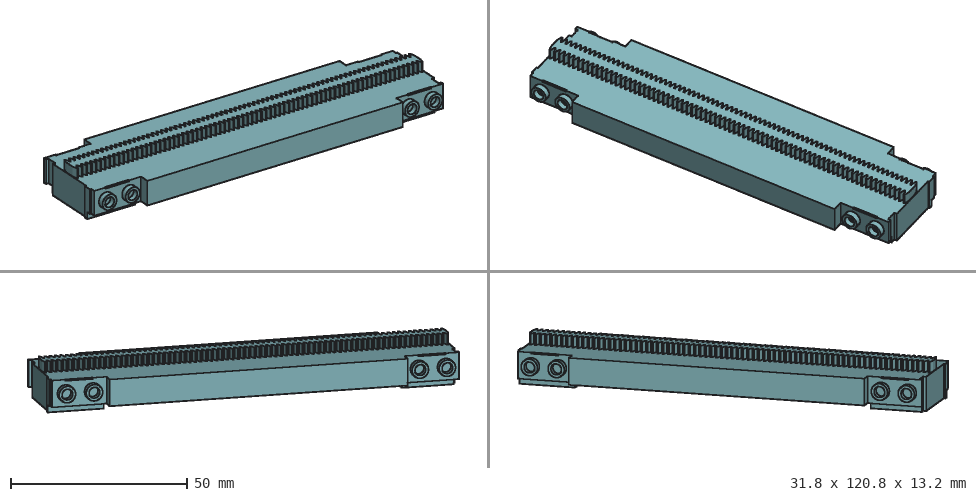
import cadquery as cq

total_length = 120.8
wide_width = 31.8
total_height = 13.2

body_length = 120.0
narrow_width = 25.2
narrow_end_length = 16.1
foot_height = 2.2
foot_width = 19.6
rack_height = 3.1
body_top = total_height - rack_height
body_height = body_top - foot_height
end_y = body_length / 2
flank_x = narrow_width / 2

tongue_length = (total_length - body_length) / 2
tongue_width = 2.5
tongue_center = 9.8
notch_depth = 0.8
notch_width = 3.3
notch_center = 9.9

tooth_count = 76
rack_length = 119.7
rack_root_width = 3.1
rack_tip_width = 6.5
tooth_land = 0.4
tooth_pitch = (rack_length + tooth_land) / tooth_count
tooth_flank = tooth_pitch / 2 - tooth_land

boss_diameter = 4.8
boss_hole_diameter = 3.1
boss_tip_span = 29.0
boss_length = (boss_tip_span - narrow_width) / 2
boss_spacing = 8.0
bosses_per_flank = 2
first_boss_offset = 4.0
boss_center_height = foot_height + body_height / 2

step_size = 0.4
step_length = boss_spacing
step_y = end_y - first_boss_offset - step_length / 2


def block(width, length, height, x, y, bottom):
    """Box centred at (x, y) that stands on the height `bottom`."""
    return cq.Workplane("XY").box(width, length, height, (True, True, False)).translate((x, y, bottom))


def make_body():
    """Narrow bar with a wide middle part and a foot under each end."""
    wide_length = body_length - 2 * narrow_end_length
    body = block(narrow_width, body_length, body_height, 0, 0, foot_height)
    body = body.union(block(wide_width, wide_length, body_height, 0, 0, foot_height))
    foot_y = (body_length - narrow_end_length) / 2
    for y in (-foot_y, foot_y):
        body = body.union(block(foot_width, narrow_end_length, foot_height, 0, y, 0))
    return body


def add_tongue_and_notch(body, side):
    """Join features of the end at +Y (side = 1) or -Y (side = -1), half a turn about Z apart."""
    notch = block(notch_width, 2 * notch_depth, body_top, side * notch_center, side * end_y, 0)
    tongue_x = -side * tongue_center
    tongue = block(tongue_width, 2 * tongue_length, body_height, tongue_x, side * end_y, foot_height)
    tongue_foot = block(tongue_width, 2 * tongue_length, foot_height, tongue_x, side * end_y, 0)
    tongue_foot = tongue_foot.intersect(block(foot_width, total_length, foot_height, 0, 0, 0))
    return body.cut(notch).union(tongue).union(tongue_foot)


def add_flank_features(body, x_side, y_side):
    """Edge step and bosses on one flank of a narrow end."""
    step_bottom = body_top - step_size
    body = body.cut(
        block(2 * step_size, step_length, step_size, x_side * flank_x, y_side * step_y, step_bottom)
    )
    for index in range(bosses_per_flank):
        boss_y = y_side * (end_y - first_boss_offset - index * boss_spacing)
        flank_plane = cq.Workplane("YZ", origin=(x_side * flank_x, boss_y, boss_center_height))
        ring = flank_plane.circle(boss_diameter / 2).circle(boss_hole_diameter / 2)
        body = body.union(ring.extrude(x_side * boss_length))
    return body


def make_rack():
    """Bar with trapezoidal teeth on both long sides; each end begins with a tooth flank."""
    root_x = rack_root_width / 2
    tip_x = rack_tip_width / 2
    right_side = []
    for tooth in range(tooth_count):
        y = tooth * tooth_pitch - rack_length / 2
        right_side += [
            (root_x, y),
            (tip_x, y + tooth_flank),
            (tip_x, y + tooth_flank + tooth_land),
            (root_x, y + 2 * tooth_flank + tooth_land),
        ]
    left_side = [(-x, y) for x, y in reversed(right_side)]
    outline = cq.Workplane("XY").workplane(offset=body_top).polyline(right_side + left_side).close()
    return outline.extrude(rack_height)


part = make_body()
for y_side in (-1, 1):
    part = add_tongue_and_notch(part, y_side)
    for x_side in (-1, 1):
        part = add_flank_features(part, x_side, y_side)
result = part.union(make_rack())